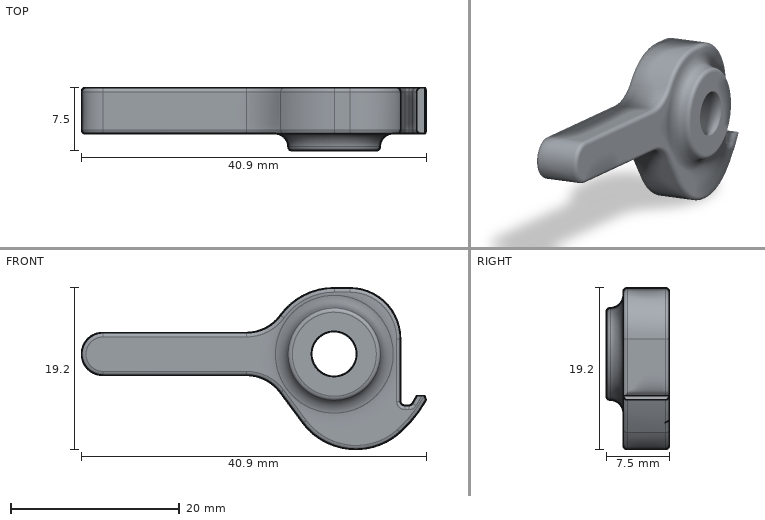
import cadquery as cq
import math

plate_thickness = 5.5
edge_round = 0.5
arm_length = 30.0
arm_half_width = 2.55
neck_radius = 5.0

lobe_radius = 7.85
side_x = 7.9
shoulder_radius = 6.05
lower_x = 2.58
lower_z = -3.48

notch_radius = 0.5
notch_floor_z = -6.1
notch_floor_width = 0.5
notch_turn = math.radians(60)
hook_start_angle = math.radians(42)
hook_outer_radius = 15.45
hook_outer_sweep = math.radians(24)
tip_z = -4.95
tip_right_x = 10.75
tip_corner_slope = 3.0

clearance_size = 49.1

bore_radius = 2.65
boss_radius = 5.5
boss_height = 2.0
boss_base_flare = boss_height - edge_round
boss_root_depth = 0.6


def on_circle(x, z, radius, angle):
    """Point on a circle at an angle measured from +X toward +Z."""
    return (x + radius * math.cos(angle), z + radius * math.sin(angle))


def rounded_plate(outline):
    """Plate-thick slab of an outline with both faces rounded along its edges."""
    slab = outline.close().extrude(-plate_thickness)
    return slab.faces("<Y or >Y").edges().fillet(edge_round)


def outer_outline(rise_x):
    """Arm, lobes and outer side of the hook; the top is left open beyond rise_x."""
    neck_z = arm_half_width + neck_radius
    neck_x = -math.sqrt((lobe_radius + neck_radius) ** 2 - neck_z**2)
    upper_tangent = math.atan2(neck_z, neck_x)

    span_x = lower_x - neck_x
    span_z = lower_z + neck_z
    flank_angle = math.atan2(span_z, span_x) + math.acos(
        (neck_radius + lobe_radius) / math.hypot(span_x, span_z)
    )
    flank_end = on_circle(lower_x, lower_z, lobe_radius, flank_angle + math.pi)
    arm_center_x = arm_half_width - arm_length

    hook_angle = hook_start_angle - math.pi / 2
    hook_start = on_circle(lower_x, lower_z, lobe_radius, hook_angle)
    hook_center = on_circle(*hook_start, -hook_outer_radius, hook_angle)
    hook_end = on_circle(*hook_center, hook_outer_radius, hook_angle + hook_outer_sweep)

    return (
        cq.Workplane("XZ")
        .moveTo(arm_center_x, arm_half_width)
        .lineTo(neck_x, arm_half_width)
        .tangentArcPoint(on_circle(0, 0, lobe_radius, upper_tangent), relative=False)
        .tangentArcPoint((0, lobe_radius), relative=False)
        .lineTo(rise_x, lobe_radius)
        .lineTo(rise_x, clearance_size)
        .lineTo(hook_end[0], clearance_size)
        .lineTo(*hook_end)
        .threePointArc(
            on_circle(*hook_center, hook_outer_radius, hook_angle + hook_outer_sweep / 2),
            hook_start,
        )
        .tangentArcPoint((lower_x, lower_z - lobe_radius), relative=False)
        .tangentArcPoint(flank_end, relative=False)
        .lineTo(*on_circle(neck_x, -neck_z, neck_radius, flank_angle))
        .tangentArcPoint((neck_x, -arm_half_width), relative=False)
        .lineTo(arm_center_x, -arm_half_width)
        .threePointArc((-arm_length, 0), (arm_center_x, arm_half_width))
    )


def notch_outline():
    """Shoulder, straight side and notch, with the other sides clear of the part."""
    notch_center_z = notch_floor_z + notch_radius
    floor_start_x = side_x + notch_radius
    floor_end_x = floor_start_x + notch_floor_width
    notch_end = on_circle(floor_end_x, notch_center_z, notch_radius, notch_turn - math.pi / 2)
    return (
        cq.Workplane("XZ")
        .moveTo(-clearance_size, lobe_radius)
        .lineTo(side_x - shoulder_radius, lobe_radius)
        .tangentArcPoint((side_x, lobe_radius - shoulder_radius), relative=False)
        .lineTo(side_x, notch_center_z)
        .tangentArcPoint((floor_start_x, notch_floor_z), relative=False)
        .lineTo(floor_end_x, notch_floor_z)
        .tangentArcPoint(notch_end, relative=False)
        .lineTo(notch_end[0] + clearance_size / math.tan(notch_turn), notch_end[1] + clearance_size)
        .lineTo(2 * clearance_size, notch_end[1] + clearance_size)
        .lineTo(2 * clearance_size, -clearance_size)
        .lineTo(-clearance_size, -clearance_size)
    )


def above_tip():
    """Block that trims the hook to its flat tip."""
    return (
        cq.Workplane("XZ")
        .moveTo(side_x + notch_radius, tip_z)
        .lineTo(tip_right_x, tip_z)
        .lineTo(clearance_size, tip_z - (clearance_size - tip_right_x) * tip_corner_slope)
        .lineTo(clearance_size, clearance_size)
        .lineTo(side_x + notch_radius, clearance_size)
        .close()
        .extrude(-plate_thickness)
    )


def space_left_of(x):
    """Large block filling everything on the -X side of a plane."""
    size = 2 * clearance_size
    return cq.Workplane("XY").box(size, size, size).translate((x - clearance_size, 0, 0))


def flared_boss():
    """Turned boss with a concave base flare and a rounded front rim."""
    diagonal_ratio = math.sqrt(0.5)
    flare_mid = boss_base_flare * diagonal_ratio
    rim_mid = edge_round * diagonal_ratio
    flare_radius = boss_radius + boss_base_flare
    rim_radius = boss_radius - edge_round
    return (
        cq.Workplane("XY")
        .moveTo(0, boss_root_depth)
        .lineTo(flare_radius, boss_root_depth)
        .lineTo(flare_radius, 0)
        .threePointArc(
            (flare_radius - flare_mid, -boss_base_flare + flare_mid),
            (boss_radius, -boss_base_flare),
        )
        .threePointArc(
            (rim_radius + rim_mid, -boss_base_flare - rim_mid), (rim_radius, -boss_height)
        )
        .lineTo(0, -boss_height)
        .close()
        .revolve(360, (0, 0), (0, 1))
    )


flat_top_length = side_x - shoulder_radius
seam_x = flat_top_length / 2
hook_rise_x = 0.185
arm_side = rounded_plate(outer_outline(flat_top_length)).intersect(space_left_of(seam_x))
hook_side = rounded_plate(outer_outline(hook_rise_x)).cut(space_left_of(seam_x))
hook_side = hook_side.intersect(rounded_plate(notch_outline())).cut(above_tip())
plate = arm_side.union(hook_side)

bore = cq.Workplane("XZ", origin=(0, -boss_height, 0)).circle(bore_radius)
bore = bore.extrude(-(plate_thickness + boss_height))

result = plate.union(flared_boss()).cut(bore).clean()